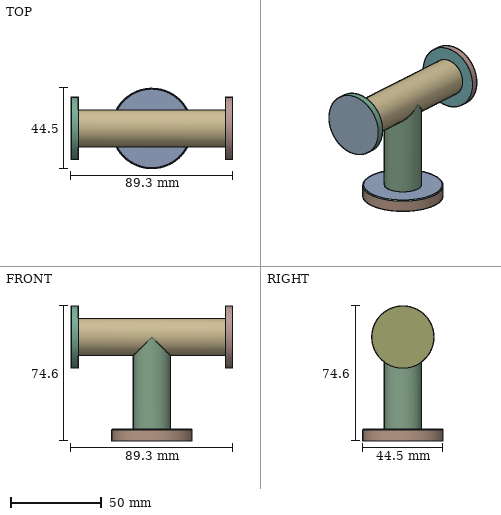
import cadquery as cq

bar_length = 89.3
pipe_diameter = 20.6
end_disc_diameter = 34.5
end_disc_thickness = 4.0

base_diameter = 44.5
base_thickness = 6.7
base_chamfer = 0.5

total_height = 74.6
bar_axis_height = total_height - end_disc_diameter / 2


def bar_cylinder(diameter, start_x, length):
    """Cylinder on the crossbar axis, running toward +X."""
    plane = cq.Plane(origin=(start_x, 0, bar_axis_height), xDir=(0, 1, 0), normal=(1, 0, 0))
    return cq.Workplane(plane).circle(diameter / 2).extrude(length)


base = (
    cq.Workplane("XY")
    .circle(base_diameter / 2)
    .extrude(base_thickness)
    .faces(">Z")
    .chamfer(base_chamfer)
)

post = cq.Workplane("XY").circle(pipe_diameter / 2).extrude(bar_axis_height)

crossbar = bar_cylinder(pipe_diameter, -bar_length / 2, bar_length)

result = base.union(post).union(crossbar)
for disc_start in (-bar_length / 2, bar_length / 2 - end_disc_thickness):
    result = result.union(bar_cylinder(end_disc_diameter, disc_start, end_disc_thickness))